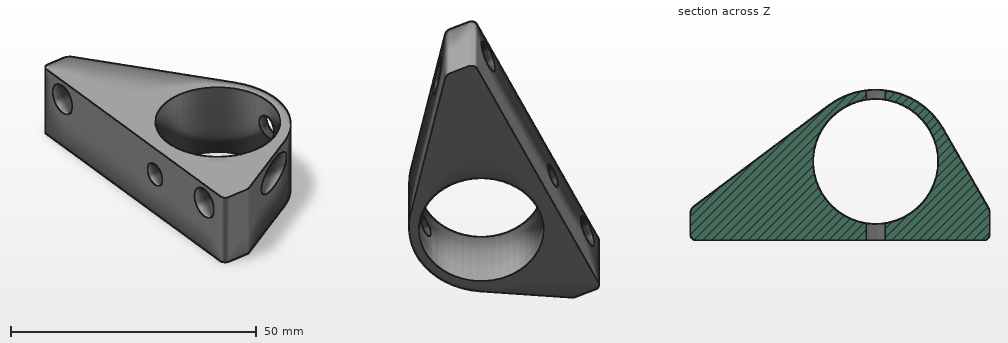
import cadquery as cq
import math

length = 60.96
depth = 30.7
height = 15.88
base_corner_radius = 1.27
shoulder_corner_radius = 2.0

bore_diameter = 25.4
bore_x = 37.73
bore_y = 16.08

crown_radius = 15.875
crown_x = bore_x
crown_y = depth - crown_radius

left_end_height = 6.4
right_end_height = 6.2

mount_diameter = 6.55
mount_spacing = 47.625
mount_z = height - 4.45
cross_diameter = 4.95
cross_z = height - 6.35


def crown_tangent_point(corner, turn):
    """Point where a line from the corner touches the crown.

    turn is the way round the crown from the corner's direction to that point:
    +1 is counterclockwise and -1 is clockwise.
    """
    dx = corner[0] - crown_x
    dy = corner[1] - crown_y
    distance = math.hypot(dx, dy)
    angle = math.atan2(dy, dx) + turn * math.acos(crown_radius / distance)
    return (crown_x + crown_radius * math.cos(angle), crown_y + crown_radius * math.sin(angle))


def round_corner(body, corner, radius):
    """Fillet the vertical edge that stands on the given outline corner."""
    edge_middle = (corner[0], corner[1], height / 2)
    return body.edges(cq.NearestToPointSelector(edge_middle)).fillet(radius)


def make_body():
    base_left = (0, 0)
    base_right = (length, 0)
    left_shoulder = (0, left_end_height)
    right_shoulder = (length, right_end_height)
    body = (
        cq.Workplane("XY")
        .moveTo(*base_left)
        .lineTo(*base_right)
        .lineTo(*right_shoulder)
        .lineTo(*crown_tangent_point(right_shoulder, 1))
        .threePointArc((crown_x, depth), crown_tangent_point(left_shoulder, -1))
        .lineTo(*left_shoulder)
        .close()
        .extrude(height)
    )
    for corner in (base_left, base_right):
        body = round_corner(body, corner, base_corner_radius)
    for corner in (left_shoulder, right_shoulder):
        body = round_corner(body, corner, shoulder_corner_radius)
    return body


def make_bore():
    return cq.Workplane("XY").center(bore_x, bore_y).circle(bore_diameter / 2).extrude(height)


def make_hole_along_y(x, z, diameter):
    return cq.Workplane("XZ", origin=(x, 0, z)).circle(diameter / 2).extrude(-depth)


def make_part():
    part = make_body().cut(make_bore())
    for side in (-1, 1):
        mount_x = length / 2 + side * mount_spacing / 2
        part = part.cut(make_hole_along_y(mount_x, mount_z, mount_diameter))
    return part.cut(make_hole_along_y(bore_x, cross_z, cross_diameter))


result = make_part()